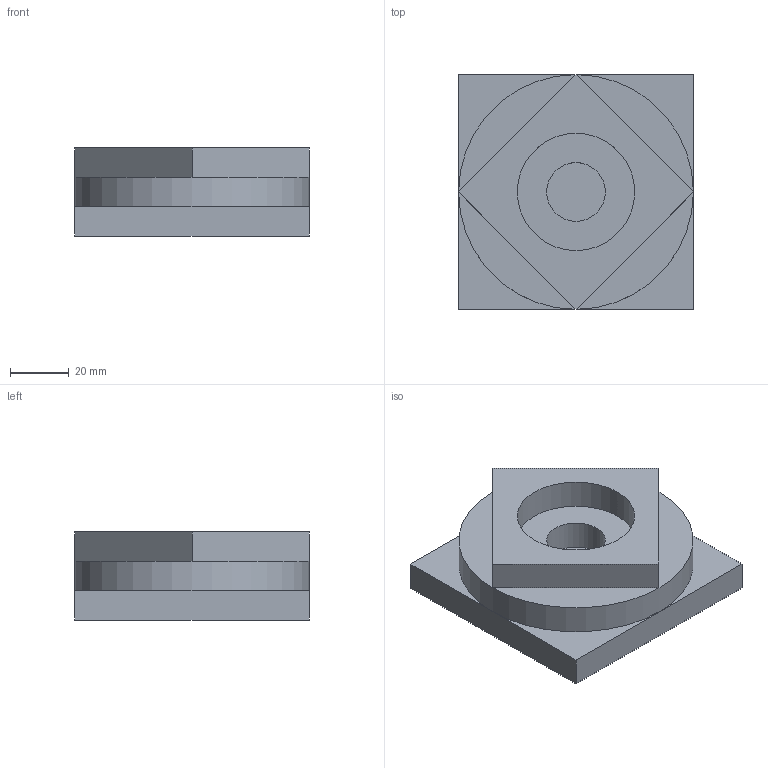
import cadquery as cq

width = 80.0
layer_height = 10.0
recess_diameter = 40.0
bore_diameter = 20.0

base_top = layer_height
disc_top = base_top + layer_height


def square_base():
    """Square plate at the bottom."""
    return cq.Workplane("XY").rect(width, width).extrude(layer_height)


def middle_disc():
    """Disc inscribed in the base square."""
    return cq.Workplane("XY").workplane(offset=base_top).circle(width / 2).extrude(layer_height)


def top_diamond():
    """Square turned 45 degrees, with its corners on the rim of the disc."""
    reach = width / 2
    corners = [(reach, 0), (0, reach), (-reach, 0), (0, -reach)]
    return cq.Workplane("XY").workplane(offset=disc_top).polyline(corners).close().extrude(layer_height)


def round_pocket(diameter, floor_level):
    """Cylinder one layer high, to be cut on the part's central axis."""
    return cq.Workplane("XY").workplane(offset=floor_level).circle(diameter / 2).extrude(layer_height)


body = square_base().union(middle_disc()).union(top_diamond())
body = body.cut(round_pocket(recess_diameter, disc_top))
result = body.cut(round_pocket(bore_diameter, base_top))